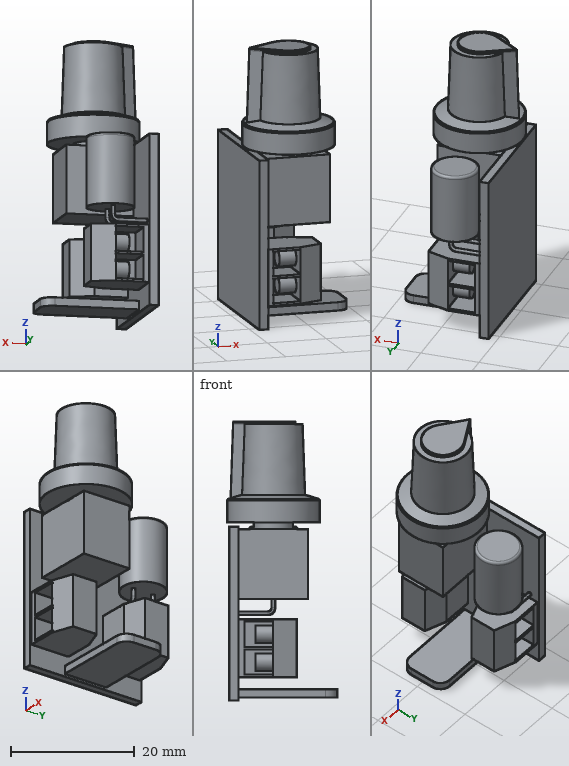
import cadquery as cq
import math


board_thickness = 1.55
board_width = 22.65
board_height = 28.2
board_y_max = 15.52
board_y_min = board_y_max - board_width

pot_depth = 11.22
pot_width = 9.25
pot_bottom = 16.47
pot_top = 27.8
axis_x = pot_depth / 2
shaft_radius = 3.2

skirt_radius = 7.5
skirt_bottom = 28.88
skirt_edge = 32.6
skirt_rounding = 0.2
grip_bottom = 33.35
grip_bottom_radius = 5.15
grip_top = 44.8
grip_top_radius = 4.75
knob_top = 45.25
pointer_foot_reach = 6.95
pointer_top_reach = 6.55
pointer_half_angle = 33.0
pointer_heading = 176.4
pointer_rim = 0.2

capacitor_radius = 3.9
capacitor_y = board_y_max - capacitor_radius
capacitor_top = board_height
capacitor_rounding = 0.45
lead_radius = 0.3
lead_spacing = 3.95
lead_bend = 0.9
lead_z = 14.15

terminal_depth = 9.4
terminal_width = 7.45
terminal_bottom = 3.8
terminal_height = 9.4
terminal_edge_gap = 0.3
chamfer_start = 5.55
chamfer_inset = 1.35
opening_floor = 0.95
opening_wall = 0.4
opening_height = (terminal_height - 3 * opening_wall) / 2
opening_reach = 5.45
screw_radius = 1.4
screw_end = 2.7

tab_length = 15.98
tab_y_min = -0.05
tab_y_max = 8.35
tab_bottom = 0.5
tab_thickness = 1.4
tab_corner_radius = 1.95


def block(x_range, y_range, z_range):
    """Box that spans the three (low, high) ranges."""
    lows, highs = zip(x_range, y_range, z_range)
    sizes = [high - low for low, high in zip(lows, highs)]
    return cq.Workplane("XY").box(*sizes, centered=False).translate(lows)


def make_board():
    return block((-board_thickness, 0), (board_y_min, board_y_max), (0, board_height))


def make_pot_housing():
    return block((0, pot_depth), (-pot_width / 2, pot_width / 2), (pot_bottom, pot_top))


def make_shaft():
    """Round shaft between the pot housing and the knob."""
    shaft = cq.Workplane("XY").circle(shaft_radius).extrude(skirt_bottom - pot_top)
    return shaft.translate((axis_x, 0, pot_top))


def teardrop_wire(reach, z):
    """Teardrop around the origin: an arc and its two tangents, meeting at +X reach."""
    arc_radius = reach * math.sin(math.radians(pointer_half_angle))
    tangent_angle = math.radians(90 - pointer_half_angle)
    tangent_x = arc_radius * math.cos(tangent_angle)
    tangent_y = arc_radius * math.sin(tangent_angle)
    outline = (
        cq.Workplane("XY", origin=(0, 0, z))
        .moveTo(reach, 0)
        .lineTo(tangent_x, tangent_y)
        .threePointArc((-arc_radius, 0), (tangent_x, -tangent_y))
        .close()
    )
    return outline.val()


def teardrop_loft(lower_reach, lower_z, upper_reach, upper_z):
    wires = [teardrop_wire(lower_reach, lower_z), teardrop_wire(upper_reach, upper_z)]
    return cq.Workplane(cq.Solid.makeLoft(wires, True))


def make_knob():
    """Skirt with a sloped top, tapered grip, and a teardrop pointer through the grip."""
    body = (
        cq.Workplane("XZ")
        .moveTo(0, skirt_bottom)
        .lineTo(skirt_radius, skirt_bottom)
        .lineTo(skirt_radius, skirt_edge - skirt_rounding)
        .lineTo(skirt_radius - skirt_rounding, skirt_edge + skirt_rounding / 2)
        .lineTo(grip_bottom_radius, grip_bottom)
        .lineTo(grip_top_radius, grip_top)
        .lineTo(0, grip_top)
        .close()
        .revolve(360, (0, 0, 0), (0, 1, 0))
    )
    rim_z = knob_top - pointer_rim
    foot = teardrop_loft(pointer_foot_reach, skirt_edge, pointer_top_reach, grip_top)
    cap = teardrop_loft(pointer_top_reach, grip_top, pointer_top_reach, rim_z)
    rim = teardrop_loft(pointer_top_reach, rim_z, pointer_top_reach - pointer_rim, knob_top)
    pointer = foot.union(cap).union(rim).rotate((0, 0, 0), (0, 0, 1), pointer_heading)
    return body.union(pointer).translate((axis_x, 0, 0))


def make_capacitor():
    """Upright can with a rounded top rim, its bottom level with the pot housing's."""
    can = cq.Workplane("XY").circle(capacitor_radius).extrude(capacitor_top - pot_bottom)
    can = can.faces(">Z").edges().fillet(capacitor_rounding)
    return can.translate((axis_x, capacitor_y, pot_bottom))


def make_lead(lead_y):
    """Round wire that leaves the board along X and bends up into the capacitor."""
    mid_bend = lead_bend * math.sin(math.radians(45))
    bend_x = axis_x - lead_bend
    bend_z = lead_z + lead_bend
    path = (
        cq.Workplane("XZ", origin=(0, lead_y, 0))
        .moveTo(0, lead_z)
        .lineTo(bend_x, lead_z)
        .threePointArc((bend_x + mid_bend, bend_z - mid_bend), (axis_x, bend_z))
        .lineTo(axis_x, pot_bottom)
    )
    return cq.Workplane("YZ", origin=(0, lead_y, lead_z)).circle(lead_radius).sweep(path)


def make_terminal():
    """Terminal with its front face on Y = 0, wire openings toward -Y, bottom on Z = 0."""
    body = (
        cq.Workplane("XY")
        .polyline([
            (0, 0),
            (chamfer_start, 0),
            (terminal_depth, chamfer_inset),
            (terminal_depth, terminal_width - chamfer_inset),
            (chamfer_start, terminal_width),
            (0, terminal_width),
        ])
        .close()
        .extrude(terminal_height)
    )
    for index in range(2):
        floor_z = opening_wall + index * (opening_height + opening_wall)
        opening = block(
            (opening_floor, chamfer_start), (0, opening_reach), (floor_z, floor_z + opening_height)
        )
        screw_origin = (screw_end, terminal_width / 2, floor_z + opening_height / 2)
        screw = (
            cq.Workplane("YZ", origin=screw_origin)
            .circle(screw_radius)
            .extrude(chamfer_start - screw_end)
        )
        body = body.cut(opening).union(screw)
    return body


def make_tab():
    tab = block(
        (0, tab_length), (tab_y_min, tab_y_max), (tab_bottom, tab_bottom + tab_thickness)
    )
    return tab.edges("|Z and >X").fillet(tab_corner_radius)


board = make_board()
pot_housing = make_pot_housing()
shaft = make_shaft()
knob = make_knob()
capacitor = make_capacitor()
leads = [make_lead(capacitor_y + side * lead_spacing / 2) for side in (-1, 1)]

front_terminal = make_terminal().translate((0, board_y_min + terminal_edge_gap, terminal_bottom))
rear_terminal = (
    make_terminal()
    .mirror("XZ")
    .translate((0, board_y_max - terminal_edge_gap, terminal_bottom))
)
terminals = [front_terminal, rear_terminal]

tab = make_tab()

single_bodies = [board, pot_housing, shaft, knob, capacitor, tab]
result = cq.Compound.makeCompound([body.val() for body in single_bodies + leads + terminals])